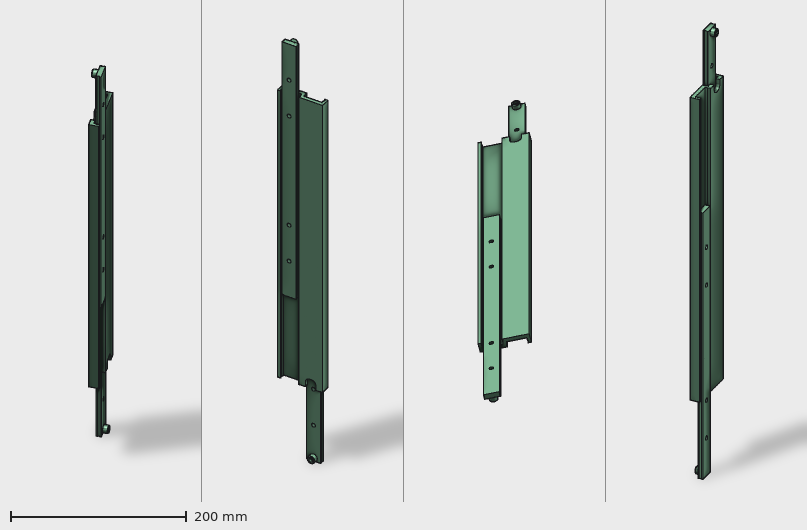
import cadquery as cq


profile_depth = 12.0
profile_width = 60.0
profile_length = 400.0
web = 5.0
channel_offset = 14.0
channel_width = 24.0

rail_front = 7.0
rail_back = 0.5
rail_width = 19.0
rail_length = 352.0
upper_extension = 70.0
lower_extension = 105.0

track_radius = 2.0
track_x = (rail_front + rail_back) / 2

hole_diameter = 5.0
hole_distances = (50.0, 100.0)

stud_radius = 5.0
stud_chamfer = 1.0
stud_bore_diameter = 4.5
stud_bore_depth = 4.0
stud_overhang = 0.095
stud_inset = stud_radius - stud_overhang

notch_width = 14.0
notch_depth = 12.5
notch_corner_radius = 6.0

half_depth = profile_depth / 2
half_length = profile_length / 2
track_offset = (channel_width + rail_width) / 4


def box(x_range, y_range, z_range):
    """Block spanning the given ranges."""
    (x0, x1), (y0, y1), (z0, z1) = x_range, y_range, z_range
    return cq.Workplane("XY").box(x1 - x0, y1 - y0, z1 - z0, centered=False).translate((x0, y0, z0))


def across_channel(width):
    """Y range of the given width, centred on the channel open to +X."""
    return (-channel_offset - width / 2, -channel_offset + width / 2)


def ball_tracks(z_low, length):
    """Pair of round bars in the gaps beside the rail, biting into the channel walls and the rail."""
    centres = [(track_x, -channel_offset + side * track_offset) for side in (-1, 1)]
    return (
        cq.Workplane("XY")
        .workplane(offset=z_low)
        .pushPoints(centres)
        .circle(track_radius)
        .extrude(length)
    )


def half_turn(shape):
    """Shape turned half a turn about Z, onto the opposite channel."""
    return shape.rotate((0, 0, 0), (0, 0, 1), 180)


def channel():
    """Space of the channel open to +X."""
    return box((web - half_depth, half_depth), across_channel(channel_width), (-half_length, half_length))


def notch():
    """Round-cornered notch at the top end, through the web behind the channel open to +X."""
    z_range = (half_length - notch_depth, half_length)
    block = box((-half_depth, web - half_depth), across_channel(notch_width), z_range)
    return block.edges("|X and <Z").fillet(notch_corner_radius)


def middle_profile():
    """S-shaped profile with two opposite channels and a stud notch at each end."""
    body = cq.Workplane("XY").box(profile_depth, profile_width, profile_length)
    channel_space = channel().union(ball_tracks(-half_length, profile_length))
    body = body.cut(channel_space).cut(half_turn(channel_space))
    top_notch = notch()
    bottom_notch = half_turn(top_notch).mirror("XY")
    return body.cut(top_notch).cut(bottom_notch)


def rail(extension):
    """Rail in the channel open to +X, standing out of the top end of the profile by the extension."""
    top = half_length + extension
    bottom = top - rail_length
    body = box((rail_back, rail_front), across_channel(rail_width), (bottom, top))
    body = body.cut(ball_tracks(bottom, rail_length))

    heights = [bottom + d for d in hole_distances] + [top - d for d in hole_distances]
    holes = (
        cq.Workplane("YZ")
        .pushPoints([(-channel_offset, z) for z in heights])
        .circle(hole_diameter / 2)
        .extrude(rail_front)
    )
    stud = (
        cq.Workplane("YZ")
        .workplane(offset=-half_depth)
        .center(-channel_offset, top - stud_inset)
        .circle(stud_radius)
        .extrude(half_depth + rail_back)
        .faces("<X")
        .chamfer(stud_chamfer)
        .faces("<X")
        .workplane(centerOption="CenterOfMass")
        .hole(stud_bore_diameter, stud_bore_depth)
    )
    return body.cut(holes).union(stud)


middle = middle_profile()
upper_rail = rail(upper_extension)
lower_rail = half_turn(rail(lower_extension)).mirror("XY")

result = cq.Compound.makeCompound([middle.val(), upper_rail.val(), lower_rail.val()])